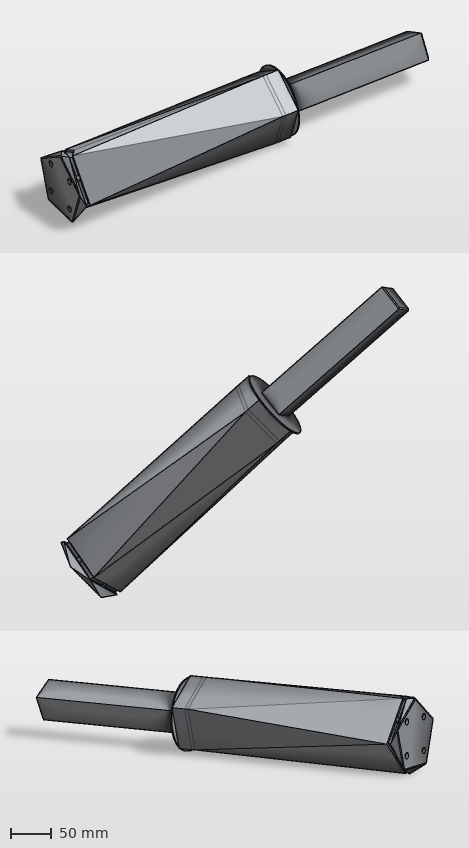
import cadquery as cq
import math


LENGTH = 520.0
SHAFT_END_Y = LENGTH / 2
CAP_FRONT_Y = -LENGTH / 2
CAP_THICKNESS = 8.5
NECK_LENGTH = 5.0
CAP_BACK_Y = CAP_FRONT_Y + CAP_THICKNESS
BARREL_FRONT_Y = CAP_BACK_Y + NECK_LENGTH
FLANGE_BACK_Y = 57.5
FLANGE_THICKNESS = 1.5
FLANGE_DIAMETER = 91.5
COLLAR_FRONT_Y = 38.5
BAND_WIDTH = 4.5
BARREL_BACK_Y = COLLAR_FRONT_Y - BAND_WIDTH

ENVELOPE_RADIUS = 95.0 / 2
CREST_HALF_ANGLE = 9.3
SIDE_CORNER_DROP = 4.5
NECK_INSET = 3.0
CAP_FRONT_RADIUS = 94.0 / 2
CAP_CHAMFER = 1.0

SHAFT_DIAMETER = 50.0
SHAFT_TURN = 75.0
SHAFT_CHAMFER = 1.5

PIN_DIAMETER = 8.0
PIN_SPACING = 42.0
PIN_OFFSET = PIN_SPACING / 2
PIN_DIMPLE_DEPTH = 3.0

NOTCH_DEPTH = NECK_INSET
NOTCH_HALF_WIDTH = 7.0

PENTAGON_ANGLES = [18 + 72 * i for i in range(5)]
BLUNT_ANGLES = [
    -SIDE_CORNER_DROP,
    90 - CREST_HALF_ANGLE,
    90 + CREST_HALF_ANGLE,
    180 + SIDE_CORNER_DROP,
    270,
]
CRESTED_ANGLES = BLUNT_ANGLES[:2] + [90] + BLUNT_ANGLES[2:]


def section_point(angle, radius=ENVELOPE_RADIUS):
    """Point (x, z) at an angle counterclockwise from +X, facing +Y."""
    turn = math.radians(angle)
    return radius * math.cos(turn), radius * math.sin(turn)


def section_plane(y):
    """Plane across the axis: local x is X, local y is Z, extrusions run to -Y."""
    return cq.Workplane("XZ", origin=(0, y, 0))


def prism(points, back_y, front_y):
    return section_plane(back_y).polyline(points).close().extrude(back_y - front_y)


def angle_between(a, b):
    return abs((a - b + 180) % 360 - 180)


def ring_edges(angles):
    """Pairs of neighbouring corner angles, in order round the ring."""
    return zip(angles, angles[1:] + [angles[0] + 360])


def polygon_face(corners):
    return cq.Face.makeFromWires(cq.Wire.makePolygon([cq.Vector(*c) for c in corners], close=True))


def faceted_loft(ring_a, ring_b):
    """Solid between two polygons given as (corner angles, radius, y).

    Each edge forms a flat triangular facet with the nearest corner of the other polygon.
    """

    def corner(ring, angle):
        _, radius, y = ring
        x, z = section_point(angle, radius)
        return x, y, z

    faces = []
    for near, far in ((ring_a, ring_b), (ring_b, ring_a)):
        faces.append(polygon_face([corner(near, angle) for angle in near[0]]))
        for start, end in ring_edges(near[0]):
            middle = (start + end) / 2
            tip = min(far[0], key=lambda angle: angle_between(angle, middle))
            faces.append(polygon_face([corner(near, start), corner(near, end), corner(far, tip)]))
    return cq.Workplane(cq.Solid.makeSolid(cq.Shell.makeShell(faces)))


def make_shaft():
    corners = [section_point(SHAFT_TURN + 90 * i, SHAFT_DIAMETER / 2) for i in range(4)]
    return prism(corners, SHAFT_END_Y, FLANGE_BACK_Y).faces(">Y").chamfer(SHAFT_CHAMFER)


def pin_holes(back_y, front_y):
    places = section_plane(back_y).rect(PIN_SPACING, PIN_SPACING, forConstruction=True).vertices()
    return places.circle(PIN_DIAMETER / 2).extrude(back_y - front_y)


def make_housing():
    pentagon = [section_point(angle) for angle in PENTAGON_ANGLES]
    flange = section_plane(FLANGE_BACK_Y).circle(FLANGE_DIAMETER / 2).extrude(FLANGE_THICKNESS)
    collar = prism(pentagon, FLANGE_BACK_Y - FLANGE_THICKNESS, COLLAR_FRONT_Y)
    band = prism(pentagon, COLLAR_FRONT_Y, BARREL_BACK_Y)
    barrel = faceted_loft(
        (PENTAGON_ANGLES, ENVELOPE_RADIUS, BARREL_BACK_Y),
        (CRESTED_ANGLES, ENVELOPE_RADIUS, BARREL_FRONT_Y),
    )

    neck = (
        section_plane(BARREL_FRONT_Y)
        .polyline([section_point(angle) for angle in BLUNT_ANGLES])
        .close()
        .offset2D(-NECK_INSET, "intersection")
        .extrude(NECK_LENGTH)
    )
    crest_z = section_point(90 - CREST_HALF_ANGLE)[1]
    notch = (
        cq.Workplane("XY", origin=(0, BARREL_FRONT_Y, crest_z - NOTCH_DEPTH))
        .polyline([(-NOTCH_HALF_WIDTH, 0), (NOTCH_HALF_WIDTH, 0), (0, NOTCH_HALF_WIDTH)])
        .close()
        .extrude(ENVELOPE_RADIUS)
    )
    front = barrel.cut(notch).union(neck).cut(pin_holes(BARREL_FRONT_Y, CAP_BACK_Y))
    return flange.union(collar).union(band, clean=False).union(front, clean=False)


def make_cap():
    plate = faceted_loft(
        (CRESTED_ANGLES, ENVELOPE_RADIUS, CAP_BACK_Y),
        (PENTAGON_ANGLES, CAP_FRONT_RADIUS, CAP_FRONT_Y),
    )
    plate = plate.faces("<Y").chamfer(CAP_CHAMFER)
    return plate.cut(pin_holes(CAP_BACK_Y, CAP_FRONT_Y))


def make_pin(x, z):
    length = NECK_LENGTH + CAP_THICKNESS
    pin = cq.Workplane("XZ", origin=(x, BARREL_FRONT_Y, z)).circle(PIN_DIAMETER / 2).extrude(length)
    dimple = cq.Solid.makeCone(
        PIN_DIAMETER / 2, 0, PIN_DIMPLE_DEPTH, cq.Vector(x, CAP_FRONT_Y, z), cq.Vector(0, 1, 0)
    )
    return pin.cut(cq.Workplane(dimple))


shaft = make_shaft()
housing = make_housing()
cap = make_cap()
pins = [make_pin(x, z) for x in (-PIN_OFFSET, PIN_OFFSET) for z in (-PIN_OFFSET, PIN_OFFSET)]

result = cq.Compound.makeCompound(
    [body.solids().val() for body in (shaft, housing, cap, *pins)]
)